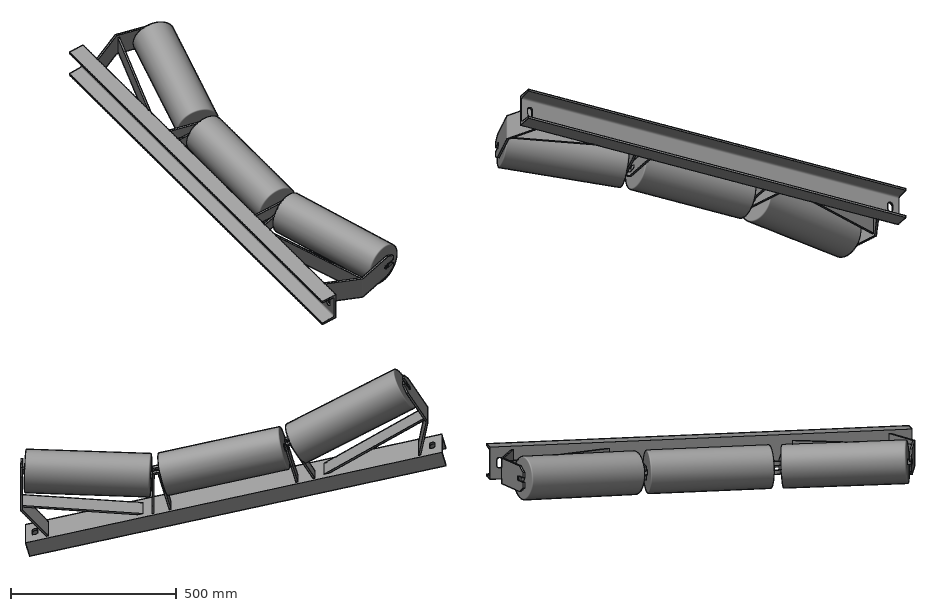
import cadquery as cq
import math


BEAM_LENGTH = 1300.0
BEAM_HEIGHT = 100.0
BEAM_DEPTH = 51.0
WEB_THICKNESS = 6.0
FLANGE_TIP_THICKNESS = 6.0
FLANGE_ROOT_THICKNESS = 9.0
ROOT_RADIUS = 6.0
MOUNT_SLOT_HEIGHT = 32.0
MOUNT_SLOT_WIDTH = 17.0
MOUNT_SLOT_X = 620.0

ROLLER_RADIUS = 66.0
ROLLER_LENGTH = 380.0
ROLLER_EDGE_RADIUS = 4.0
SHAFT_RADIUS = 10.0
SHAFT_FLATS = 14.0
SHAFT_OVERHANG = 10.0
SHAFT_HALF_LENGTH = ROLLER_LENGTH / 2 + SHAFT_OVERHANG
TROUGH_ANGLE = 15.0
FORWARD_TILT = 3.0
CENTRE_ROLLER_AXIS = (0.0, 117.0, -21.0)
SIDE_ROLLER_CENTRE = (410.0, 172.0, -10.0)

PLATE_THICKNESS = 6.0
PLATE_WIDTH = 79.0
BEND_RADIUS = 3.0
OUTER_FOOT_X = 581.0
OUTER_BEND_X = 633.0
OUTER_BEND_Y = 110.0
OUTER_UPPER_LENGTH = 145.0
CORNER_CUT_LENGTH = 25.0
CORNER_CUT_WIDTH = 15.0
INNER_WIDTH = 40.0
INNER_LEG_X = 198.0
INNER_TOP_X = 215.0
INNER_TOP_Y = 138.0

STRUT_THICKNESS = 6.0
STRUT_WIDTH = 60.0
STRUT_FOOT_X = 291.0
STRUT_TOP_X = 630.0
STRUT_TOP_Y = 118.0

SLOT_OPEN_LENGTH = 52.0
SLOT_EXTRA_REACH = 8.0
FOOT_EXCESS = 13.0
TRIM_DEPTH = 65.0

TROUGH_SIN = math.sin(math.radians(TROUGH_ANGLE))
TROUGH_COS = math.cos(math.radians(TROUGH_ANGLE))
TROUGH_TAN = TROUGH_SIN / TROUGH_COS


def mirrored(body):
    return body.mirror("YZ")


def place_centre(body):
    return body.translate(CENTRE_ROLLER_AXIS)


def place_side(body):
    """Move a body built along the X axis to the +X side roller, outer end raised and forward."""
    tilted = body.rotate((0, 0, 0), (0, 1, 0), -FORWARD_TILT)
    troughed = tilted.rotate((0, 0, 0), (0, 0, 1), TROUGH_ANGLE)
    return troughed.translate(SIDE_ROLLER_CENTRE)


def make_beam():
    half_height = BEAM_HEIGHT / 2
    tip_z = half_height - FLANGE_TIP_THICKNESS
    root_z = half_height - FLANGE_ROOT_THICKNESS
    profile = [
        (0, half_height),
        (-BEAM_DEPTH, half_height),
        (-BEAM_DEPTH, tip_z),
        (-WEB_THICKNESS, root_z),
        (-WEB_THICKNESS, -root_z),
        (-BEAM_DEPTH, -tip_z),
        (-BEAM_DEPTH, -half_height),
        (0, -half_height),
    ]
    beam = (
        cq.Workplane("YZ", origin=(-BEAM_LENGTH / 2, 0, 0))
        .polyline(profile)
        .close()
        .extrude(BEAM_LENGTH)
    )
    for root in (root_z, -root_z):
        root_edge = cq.selectors.NearestToPointSelector((0, -WEB_THICKNESS, root))
        beam = beam.edges("|X").edges(root_edge).fillet(ROOT_RADIUS)
    slots = (
        cq.Workplane("XZ")
        .pushPoints([(-MOUNT_SLOT_X, 0), (MOUNT_SLOT_X, 0)])
        .slot2D(MOUNT_SLOT_HEIGHT, MOUNT_SLOT_WIDTH, 90)
        .extrude(WEB_THICKNESS)
    )
    return beam.cut(slots)


def flatted_bar(top_y, half_length):
    """A bar along X as wide as the shaft flats, with the shaft's round underside."""
    half_flats = SHAFT_FLATS / 2
    arc_y = half_flats - SHAFT_RADIUS
    return (
        cq.Workplane("YZ", origin=(-half_length, 0, 0))
        .moveTo(top_y, -half_flats)
        .lineTo(top_y, half_flats)
        .lineTo(arc_y, half_flats)
        .threePointArc((-SHAFT_RADIUS, 0), (arc_y, -half_flats))
        .close()
        .extrude(2 * half_length)
    )


def make_roller():
    """A roller with rounded rims on the X axis, and the flatted shaft sticking out of both ends."""
    shell = (
        cq.Workplane("YZ", origin=(-ROLLER_LENGTH / 2, 0, 0))
        .circle(ROLLER_RADIUS)
        .extrude(ROLLER_LENGTH)
        .edges()
        .fillet(ROLLER_EDGE_RADIUS)
    )
    return shell.union(flatted_bar(SHAFT_RADIUS, SHAFT_HALF_LENGTH))


def make_shaft_slots():
    """The paths by which a shaft drops into its brackets, open towards +Y."""
    return flatted_bar(SLOT_OPEN_LENGTH, SHAFT_HALF_LENGTH + SLOT_EXTRA_REACH)


def strip_sides(centreline, thickness):
    """The two long sides of a constant-thickness strip with mitred bends along an XY centreline."""
    headings = []
    for (x0, y0), (x1, y1) in zip(centreline, centreline[1:]):
        headings.append(math.atan2(y1 - y0, x1 - x0))
    left = []
    right = []
    for (x, y), before, after in zip(centreline, headings[:1] + headings, headings + headings[-1:]):
        normal = (before + after + math.pi) / 2
        reach = thickness / 2 / math.cos((after - before) / 2)
        left.append((x + reach * math.cos(normal), y + reach * math.sin(normal)))
        right.append((x - reach * math.cos(normal), y - reach * math.sin(normal)))
    return left, right


def bent_plate(centreline, thickness, width):
    """A flat bar across Z, bent clockwise along its centreline and trimmed flush to the beam."""
    outside, inside = strip_sides(centreline, thickness)
    plate = (
        cq.Workplane("XY", origin=(0, 0, -width / 2))
        .polyline(outside + inside[::-1])
        .close()
        .extrude(width)
    )
    for bend in range(1, len(centreline) - 1):
        for (x, y), radius in (
            (outside[bend], BEND_RADIUS + thickness),
            (inside[bend], BEND_RADIUS),
        ):
            bend_edge = cq.selectors.NearestToPointSelector((x, y, 0))
            plate = plate.edges("|Z").edges(bend_edge).fillet(radius)
    below_beam_face = cq.Workplane("XY").box(
        BEAM_LENGTH, TRIM_DEPTH, BEAM_HEIGHT, centered=(True, False, True)
    )
    return plate.cut(below_beam_face.translate((0, -TRIM_DEPTH, 0)))


def make_outer_bracket():
    """The end plate: a foot leaning outwards, bent to stand square to the side roller."""
    foot_slope = (OUTER_BEND_X - OUTER_FOOT_X) / OUTER_BEND_Y
    top_x = OUTER_BEND_X - OUTER_UPPER_LENGTH * TROUGH_SIN
    top_y = OUTER_BEND_Y + OUTER_UPPER_LENGTH * TROUGH_COS
    plate = bent_plate(
        [
            (top_x, top_y),
            (OUTER_BEND_X, OUTER_BEND_Y),
            (OUTER_FOOT_X - FOOT_EXCESS * foot_slope, -FOOT_EXCESS),
        ],
        PLATE_THICKNESS,
        PLATE_WIDTH,
    )
    half_width = PLATE_WIDTH / 2
    for side in (1, -1):
        corner = (
            cq.Workplane("YZ")
            .polyline(
                [
                    (0, side * half_width),
                    (-CORNER_CUT_LENGTH, side * half_width),
                    (0, side * (half_width - CORNER_CUT_WIDTH)),
                ]
            )
            .close()
            .extrude(PLATE_THICKNESS, both=True)
            .rotate((0, 0, 0), (0, 0, 1), TROUGH_ANGLE)
            .translate((top_x, top_y, 0))
        )
        plate = plate.cut(corner)
    return plate.cut(place_side(make_shaft_slots()))


def make_inner_bracket():
    """The plate folded over between two rollers: an upright leg, a top and a leaning leg."""
    leaning_foot_x = INNER_TOP_X + (INNER_TOP_Y + FOOT_EXCESS) * TROUGH_TAN
    plate = bent_plate(
        [
            (INNER_LEG_X, -FOOT_EXCESS),
            (INNER_LEG_X, INNER_TOP_Y),
            (INNER_TOP_X, INNER_TOP_Y),
            (leaning_foot_x, -FOOT_EXCESS),
        ],
        PLATE_THICKNESS,
        INNER_WIDTH,
    ).translate((0, 0, CENTRE_ROLLER_AXIS[2]))
    shaft_slots = make_shaft_slots()
    return plate.cut(place_centre(shaft_slots)).cut(place_side(shaft_slots))


def make_strut(outer_bracket):
    """A flat bar from the beam up to the inside of the outer bracket's bend."""
    run_per_rise = (STRUT_TOP_X - STRUT_FOOT_X) / STRUT_TOP_Y
    excess_x = STRUT_FOOT_X - FOOT_EXCESS * run_per_rise
    bar = bent_plate(
        [(excess_x, -FOOT_EXCESS), (STRUT_TOP_X, STRUT_TOP_Y)],
        STRUT_THICKNESS,
        STRUT_WIDTH,
    )
    return bar.cut(outer_bracket)


beam = make_beam()
roller = make_roller()
side_roller = place_side(roller)
outer_bracket = make_outer_bracket()
inner_bracket = make_inner_bracket()
strut = make_strut(outer_bracket)

bodies = [beam.solids().val(), place_centre(roller).solids().val()]
for side_body in (side_roller, outer_bracket, inner_bracket, strut):
    bodies.append(side_body.solids().val())
    bodies.append(mirrored(side_body).solids().val())

result = cq.Compound.makeCompound(bodies)